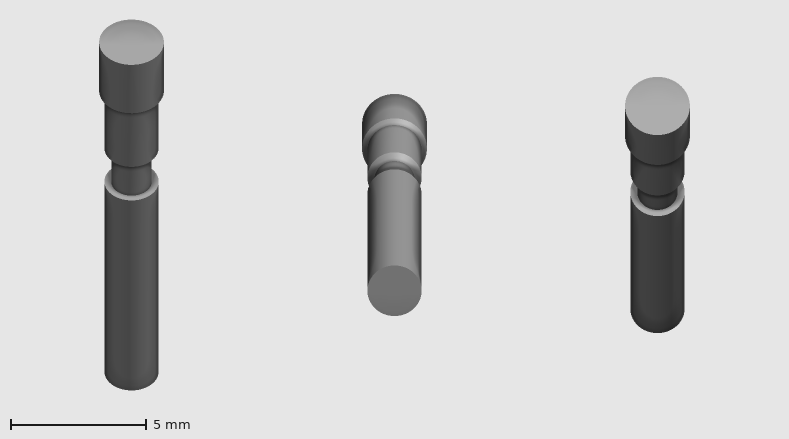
import cadquery as cq

length = 17.0
head_radius = 2.4 / 2
body_radius = 2.0 / 2
neck_radius = 1.5 / 2

shank_top = 9.81
neck_top = 11.3
collar_edge = 11.55
head_bottom = 14.31
head_edge = 14.5

half_section = (
    cq.Workplane("XZ")
    .polyline([
        (0, 0),
        (body_radius, 0),
        (body_radius, shank_top),
        (neck_radius, shank_top),
        (neck_radius, neck_top),
        (body_radius, collar_edge),
        (body_radius, head_bottom),
        (head_radius, head_edge),
        (head_radius, length),
        (0, length),
    ])
    .close()
)

result = half_section.revolve(360, (0, 0), (0, 1))